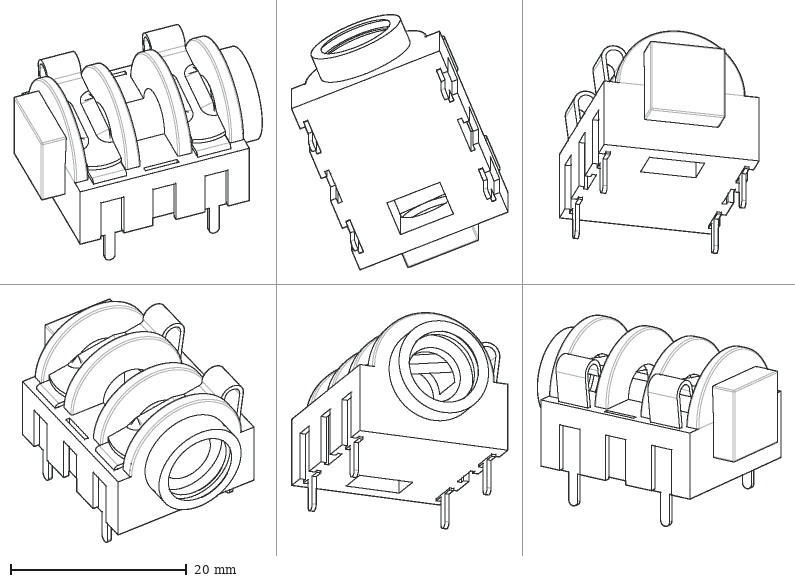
import cadquery as cq
import math


base_width = 18.2
base_height = 7.95
base_back = 10.37
base_front = -10.3

axis_z = -0.05
bushing_diameter = 11.0
bushing_back = 13.37
overall_length = 26.53
button_width = 8.75
button_height = 8.6
button_front = bushing_back - overall_length
button_fillet = 0.15
bore_diameter = 6.5
chamber_diameter = 9.52
ridge_diameter = 8.45
ridge_length = 0.37
ridge_pitch = 1.17

station_pitch = 6.37
rib_count = 4
rib_radius = 7.48
rib_base_thickness = 1.8
rib_draft = 2.0
rib_fillet = 0.19
rib_centers = [(index - (rib_count - 1) / 2) * station_pitch for index in range(rib_count)]

terminal_stations = [-station_pitch, station_pitch]
slot_stations = [-station_pitch, 0, station_pitch]
strip_thickness = 0.5
strip_width = 4.05
leg_outer_x = 8.4
leg_inner_x = leg_outer_x - strip_thickness
recess_width = 2.8
recess_top = -2.5
recess_depth = base_width / 2 - leg_outer_x
window_length = strip_width

shoulder_drop = 0.25
shoulder_z = -base_height - shoulder_drop
pin_width = 1.25
pin_tip_z = -12.15

loop_radius = 1.5
loop_x = -7.4
loop_z = 3.93
bend_radius = 0.48
arm_slope = 10.2
arm_tip_x = 7.08
arm_tip_radius = 5.78

ear_radius = 1.5
ear_height = 0.55
ear_start_x = -1.95
ear_end_x = 2.75

flap_end_x = 5.3
flap_bend_radius = 0.99 * strip_thickness


def block(x_min, x_max, y_min, y_max, z_min, z_max):
    """Axis-aligned box between two corners."""
    size = (x_max - x_min, y_max - y_min, z_max - z_min)
    return cq.Workplane("XY").box(*size, centered=False).translate((x_min, y_min, z_min))


def cylinder_along_y(diameter, y_min, y_max):
    """Cylinder on the bore axis."""
    plane = cq.Workplane("XZ", origin=(0, y_max, axis_z))
    return plane.circle(diameter / 2).extrude(y_max - y_min)




def make_rib(center_y):
    """Half disc that thins upward, with its rim rounded; end ribs stop flush with the base ends."""
    wedge_height = 2 * rib_radius
    taper = wedge_height * math.tan(math.radians(rib_draft))
    back = min(center_y + rib_base_thickness / 2, base_back)
    front = max(center_y - rib_base_thickness / 2, base_front)
    back_taper = 0 if back == base_back else taper
    wedge = (
        cq.Workplane("YZ", origin=(-rib_radius, 0, 0))
        .polyline([(front, 0), (back, 0), (back - back_taper, wedge_height), (front + taper, wedge_height)])
        .close()
        .extrude(2 * rib_radius)
    )
    disc = cylinder_along_y(2 * rib_radius, front, back)
    rib = disc.intersect(wedge)
    return rib.edges("%ELLIPSE or %CIRCLE").fillet(rib_fillet)


def make_button():
    """Rounded square block on the front of the housing, reaching back into the front rib."""
    half_width = button_width / 2
    half_height = button_height / 2
    button_back = base_front + rib_base_thickness / 2
    button = block(-half_width, half_width, button_front, button_back, -half_height, half_height)
    return button.edges().fillet(button_fillet)


def make_bushing_chamber():
    """Cavity inside the bushing: two ridges narrow it toward the open end, like saw teeth."""
    chamber_radius = chamber_diameter / 2
    ridge_radius = ridge_diameter / 2
    inner_ridge_end = bushing_back - ridge_pitch
    half_profile = (
        cq.Workplane("XY")
        .moveTo(0, base_back)
        .lineTo(chamber_radius, base_back)
        .lineTo(chamber_radius, inner_ridge_end - ridge_length)
        .lineTo(ridge_radius, inner_ridge_end)
        .lineTo(chamber_radius, inner_ridge_end)
        .lineTo(chamber_radius, bushing_back - ridge_length)
        .lineTo(ridge_radius, bushing_back)
        .lineTo(0, bushing_back)
        .close()
    )
    return half_profile.revolve(360, (0, 0, 0), (0, 1, 0)).translate((0, 0, axis_z))


def make_slot_cut(station_y):
    """Leg slots through the base and the open recesses in its side walls, on both sides."""
    y_slot = (station_y - strip_width / 2, station_y + strip_width / 2)
    y_recess = (station_y - recess_width / 2, station_y + recess_width / 2)
    slot = block(leg_inner_x, leg_outer_x, *y_slot, -base_height, 0)
    recess = block(leg_outer_x, leg_outer_x + recess_depth, *y_recess, -base_height, recess_top)
    cut = slot.union(recess)
    return cut.union(cut.mirror("YZ"))


def make_housing():
    """Base, bushing, button and ribs in one piece, with the bore, floor window and slots cut out."""
    half_width = base_width / 2
    housing = block(-half_width, half_width, base_front, base_back, -base_height, 0)
    housing = housing.union(cylinder_along_y(bushing_diameter, base_back, bushing_back))
    housing = housing.union(make_button())
    for center_y in rib_centers:
        housing = housing.union(make_rib(center_y))

    housing = housing.cut(cylinder_along_y(bore_diameter, rib_centers[0], base_back))
    housing = housing.cut(make_bushing_chamber())

    window_back = rib_centers[1] - rib_base_thickness / 2
    half_bore = bore_diameter / 2
    housing = housing.cut(
        block(-half_bore, half_bore, window_back - window_length, window_back, -base_height, 0))
    for station_y in slot_stations:
        housing = housing.cut(make_slot_cut(station_y))
    return housing




def make_pin(leg_x):
    """Round-ended solder pin below a leg whose -X face is at leg_x, centred on Y = 0."""
    half_pin = pin_width / 2
    return (
        cq.Workplane("YZ", origin=(leg_x, 0, 0))
        .moveTo(-half_pin, shoulder_z)
        .lineTo(half_pin, shoulder_z)
        .lineTo(half_pin, pin_tip_z + half_pin)
        .threePointArc((0, pin_tip_z), (-half_pin, pin_tip_z + half_pin))
        .close()
        .extrude(strip_thickness)
    )


def polar(center, radius, degrees):
    """Point at an angle on a circle."""
    angle = math.radians(degrees)
    return (center[0] + radius * math.cos(angle), center[1] + radius * math.sin(angle))


def arm_top_z(x):
    """Height of the top face of the sloping spring arm."""
    slope = math.radians(arm_slope)
    bend_x = loop_x + loop_radius + bend_radius
    return loop_z - bend_radius / math.cos(slope) - (x - bend_x) * math.tan(slope)


def make_spring_strip():
    """Leg, tilted riser, loop and sloping arm, bent from one strip."""
    loop = (loop_x, loop_z)
    bend = (loop_x + loop_radius + bend_radius, loop_z)
    inner_loop_radius = loop_radius - strip_thickness
    outer_bend_radius = bend_radius + strip_thickness

    offset_x = loop_x + leg_outer_x
    reach = math.hypot(offset_x, loop_z)
    tilt = math.degrees(math.asin(loop_radius / reach) - math.atan2(offset_x, loop_z))
    miter_z = strip_thickness * math.tan(math.radians(tilt / 2))
    riser_angle = 180 + tilt

    bend_exit = 270 - arm_slope
    bend_middle = (180 + bend_exit) / 2
    slope = math.radians(arm_slope)
    arm_end = (arm_tip_x, arm_top_z(arm_tip_x))
    arm_end_below = (arm_tip_x, arm_end[1] - strip_thickness / math.cos(slope))

    return (
        cq.Workplane("XZ", origin=(0, strip_width / 2, 0))
        .moveTo(-leg_outer_x, shoulder_z)
        .lineTo(-leg_outer_x, 0)
        .lineTo(*polar(loop, loop_radius, riser_angle))
        .threePointArc(polar(loop, loop_radius, 90), polar(loop, loop_radius, 0))
        .threePointArc(polar(bend, bend_radius, bend_middle), polar(bend, bend_radius, bend_exit))
        .lineTo(*arm_end)
        .lineTo(*arm_end_below)
        .lineTo(*polar(bend, outer_bend_radius, bend_exit))
        .threePointArc(polar(bend, outer_bend_radius, bend_middle), polar(bend, outer_bend_radius, 180))
        .threePointArc(polar(loop, inner_loop_radius, 90), polar(loop, inner_loop_radius, riser_angle))
        .lineTo(-leg_inner_x, miter_z)
        .lineTo(-leg_inner_x, shoulder_z)
        .close()
        .extrude(strip_width)
    )


def round_arm_tip(spring):
    """Round the free end of the arm in plan."""
    tip_length = arm_tip_radius / 4
    tip_zone = block(
        arm_tip_x - tip_length, arm_tip_x + 0.27, -strip_width, strip_width, 0, rib_radius)
    disc = (
        cq.Workplane("XY")
        .center(arm_tip_x - arm_tip_radius, 0)
        .circle(arm_tip_radius)
        .extrude(rib_radius)
    )
    return spring.cut(tip_zone.cut(disc))


def make_ear():
    """Ridge on the +Y edge of the arm: it falls toward the arm's middle and has half-cone ends."""
    length = (ear_end_x - ear_start_x) / math.cos(math.radians(arm_slope))
    embed = strip_thickness / 2
    root_radius = ear_radius * (1 + embed / ear_height)
    section = cq.Sketch().polygon(
        [(0, -embed), (0, ear_height), (-root_radius, -embed), (0, -embed)])
    ridge = cq.Workplane("YZ").placeSketch(section).extrude(length)
    start_cone = cq.Workplane("YZ").placeSketch(section).revolve(90, (0, 0, 0), (0, -1, 0))
    end_cone = start_cone.mirror("YZ").translate((length, 0, 0))
    ear = ridge.union(start_cone).union(end_cone)
    ear = ear.rotate((0, 0, 0), (0, 1, 0), arm_slope)
    return ear.translate((ear_start_x, strip_width / 2, arm_top_z(ear_start_x)))


def make_spring_contact(station_y):
    """Spring strip in the -X slot with its two ears and solder pin."""
    spring = round_arm_tip(make_spring_strip())
    ear = make_ear()
    spring = spring.union(ear).union(ear.mirror("XZ")).union(make_pin(-leg_outer_x))
    return spring.translate((0, station_y, 0))


def make_fixed_contact(station_y):
    """Leg in the +X slot with a flap folded over the base top, under the spring arm's tip."""
    half_width = strip_width / 2
    leg = block(leg_inner_x, leg_outer_x, -half_width, half_width, shoulder_z, strip_thickness)
    flap = block(flap_end_x, leg_outer_x, -half_width, half_width, 0, strip_thickness)
    contact = leg.union(flap).edges("|Y and >X and >Z").fillet(flap_bend_radius)
    return contact.union(make_pin(leg_inner_x)).translate((0, station_y, 0))


housing = make_housing()
spring_contacts = [make_spring_contact(station_y) for station_y in terminal_stations]
fixed_contacts = [make_fixed_contact(station_y) for station_y in terminal_stations]

result = cq.Compound.makeCompound(
    [housing.val()]
    + [contact.val() for contact in spring_contacts]
    + [contact.val() for contact in fixed_contacts]
)